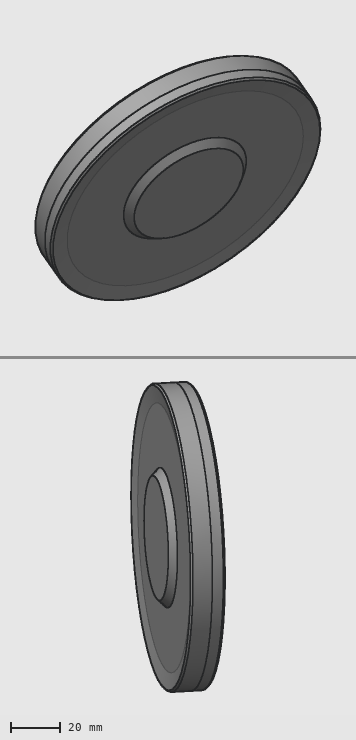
import cadquery as cq

outer_radius = 62.5
hub_half_width = 9.0
rim_half_width = 7.1
split_x = 1.7

chamfer_radial = 0.7
chamfer_axial = 0.9

dish_depth = 1.2
web_half_width = rim_half_width - dish_depth
dish_floor_radius = 54.6

hub_top_radius = 25.2
hub_base_radius = 28.4


def make_shell(side, joint_x):
    """Revolve one shell from the joint plane out to the face on the given side (-1 or +1)."""
    profile = (
        cq.Workplane("XY")
        .moveTo(joint_x, 0)
        .lineTo(side * hub_half_width, 0)
        .lineTo(side * hub_half_width, hub_top_radius)
        .lineTo(side * web_half_width, hub_base_radius)
        .lineTo(side * web_half_width, dish_floor_radius)
        .lineTo(side * rim_half_width, outer_radius - chamfer_radial)
        .lineTo(side * (rim_half_width - chamfer_axial), outer_radius)
        .lineTo(joint_x, outer_radius)
        .close()
    )
    return profile.revolve(360, (0, 0, 0), (1, 0, 0))


thick_shell = make_shell(-1, split_x)
thin_shell = make_shell(1, split_x)

result = cq.Compound.makeCompound([thick_shell.val(), thin_shell.val()])